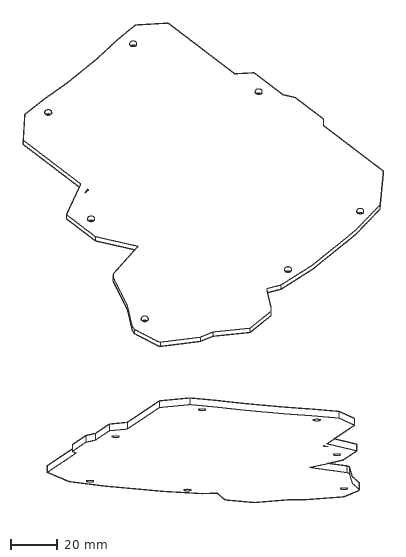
import cadquery as cq

LENGTH = 151.4
WIDTH = 139.5
THICKNESS = 3.0
HOLE_DIAMETER = 3.0

UPPER_LEDGE_Y = 137.0
LEFT_TOP_Y = 130.8
LEFT_BOTTOM_Y = 41.2
FOOT_Y = 24.8
LEFT_MID_Y = (LEFT_TOP_Y + LEFT_BOTTOM_Y) / 2
CORNER_X = 9.4
CORNER_Y = 10.6

RIGHT_MID_Y = 92.0
RIGHT_FLAT_X = 146.5
RIGHT_FLAT_HALF = 13.3
RIGHT_END_X = 144.4
RIGHT_END_HALF = 30.5

LEFT_BOW = [(1.0, 8.8), (0.6, 16.2), (0.2, 22.1)]

HOLE_CENTERS = [
    (6.5, 112.2),
    (6.5, 59.6),
    (63.5, 131.0),
    (140.6, 114.3),
    (140.6, 69.6),
    (60.4, 30.5),
    (115.2, 7.3),
]

SLIT_X = 48.3
SLIT_TOP_Y = 41.2
SLIT_WIDTH = 0.6
SLIT_LENGTH = 2.1


def plate_outline():
    """Outline points, clockwise from the upper left corner."""
    top_edge = [
        (0, LEFT_TOP_Y - CORNER_Y),
        (CORNER_X, LEFT_TOP_Y),
        (49.3, LEFT_TOP_Y),
        (55.0, UPPER_LEDGE_Y),
        (72.2, UPPER_LEDGE_Y),
        (77.2, WIDTH),
        (94.1, WIDTH),
        (96.5, UPPER_LEDGE_Y),
        (132.5, UPPER_LEDGE_Y),
    ]
    right_edge = [
        (RIGHT_END_X, RIGHT_MID_Y + RIGHT_END_HALF),
        (RIGHT_FLAT_X, RIGHT_MID_Y + RIGHT_FLAT_HALF),
        (RIGHT_FLAT_X, RIGHT_MID_Y - RIGHT_FLAT_HALF),
        (RIGHT_END_X, RIGHT_MID_Y - RIGHT_END_HALF),
    ]
    thumb_lobe = [
        (141.4, 55.7),
        (149.8, 49.6),
        (LENGTH, 48.1),
        (LENGTH, 35.1),
        (141.4, 22.5),
        (139.4, 16.6),
        (129.0, 2.7),
        (128.0, 2.3),
        (116.1, 0),
        (114.1, 0.6),
        (104.7, 7.3),
        (89.3, 14.2),
        (88.2, 15.7),
        (85.4, 33.8),
    ]
    bottom_edge = [
        (68.5, FOOT_Y),
        (51.2, FOOT_Y),
        (43.9, LEFT_BOTTOM_Y),
        (CORNER_X, LEFT_BOTTOM_Y),
        (0, LEFT_BOTTOM_Y + CORNER_Y),
    ]
    left_lower = [(inset, LEFT_MID_Y - half) for inset, half in reversed(LEFT_BOW)]
    left_upper = [(inset, LEFT_MID_Y + half) for inset, half in LEFT_BOW]
    return top_edge + right_edge + thumb_lobe + bottom_edge + left_lower + left_upper


def screw_holes():
    return cq.Workplane("XY").pushPoints(HOLE_CENTERS).circle(HOLE_DIAMETER / 2).extrude(THICKNESS)


def slit():
    corners = [
        (SLIT_X - SLIT_WIDTH / 2, SLIT_TOP_Y),
        (SLIT_X + SLIT_WIDTH / 2, SLIT_TOP_Y),
        (SLIT_X + SLIT_WIDTH / 2, SLIT_TOP_Y - SLIT_LENGTH),
    ]
    return cq.Workplane("XY").polyline(corners).close().extrude(THICKNESS)


plate = cq.Workplane("XY").polyline(plate_outline()).close().extrude(THICKNESS)
result = plate.cut(screw_holes()).cut(slit())